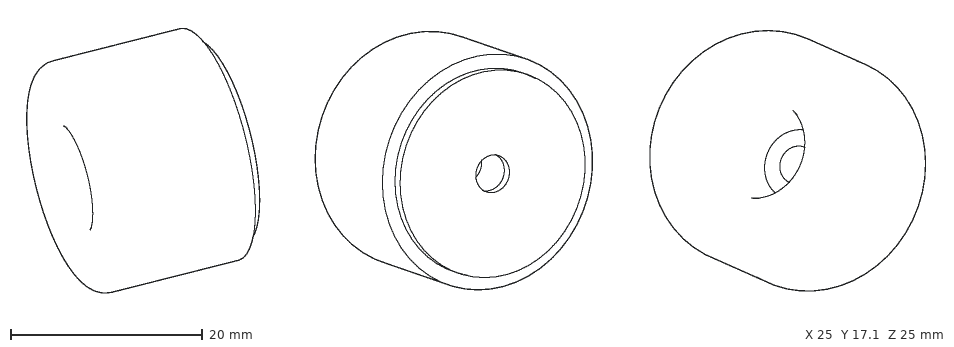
import cadquery as cq


housing_radius = 12.5
total_length = 17.1
cap_thickness = 1.12
cap_radius = 11.0
housing_length = total_length - cap_thickness

edge_round = 1.6
bore_mouth_radius = 5.6
bore_floor_radius = 3.75
bore_floor_depth = 11.0
screw_hole_radius = 2.0


def ring(outer_radius, inner_radius, start, length):
    """Flat ring around the Y axis, from Y = start to Y = start + length."""
    plane = cq.Workplane("XZ", origin=(0, start, 0))
    return plane.circle(outer_radius).circle(inner_radius).extrude(-length)


def make_housing():
    """Thick sleeve with a tapered bore, a seat for the washer and rounded front edges."""
    profile = (
        cq.Workplane("XY")
        .moveTo(bore_mouth_radius, 0)
        .lineTo(housing_radius, 0)
        .lineTo(housing_radius, housing_length)
        .lineTo(bore_floor_radius, housing_length)
        .lineTo(bore_floor_radius, bore_floor_depth)
        .close()
    )
    sleeve = profile.revolve(360, (0, 0, 0), (0, 1, 0))
    return sleeve.faces("<Y").edges().fillet(edge_round)


def make_washer():
    """Ring that forms the floor of the bore and carries the screw hole."""
    washer_thickness = housing_length - bore_floor_depth
    return ring(bore_floor_radius, screw_hole_radius, bore_floor_depth, washer_thickness)


def make_cap():
    """Thin disc on the back of the housing, pierced by the screw hole."""
    return ring(cap_radius, screw_hole_radius, housing_length, cap_thickness)


housing = make_housing()
washer = make_washer()
cap = make_cap()

result = cq.Compound.makeCompound([housing.val(), washer.val(), cap.val()])